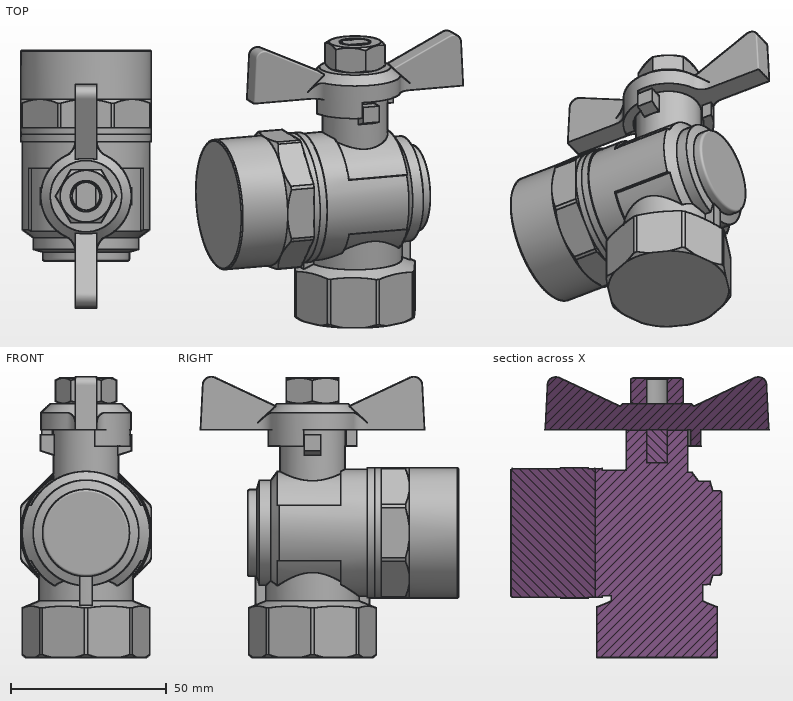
import cadquery as cq
import math


barrel_radius = 20.5
barrel_relief_radius = 19.8
relief_half_height = 8.9
relief_back_y = 9
seam_y = 20.0
collar_diameter = 42.0
collar_radius = collar_diameter / 2
body_collar_back_y = 17.5
shoulder_y = -10.75
boss_radius = 17.0
boss_back_y = -13.4
boss_front_y = -17.1
cap_radius = 14.0
cap_back_y = -18.0
cap_front_y = -20.9
cap_fillet = 0.8
neck_diameter = 21.0
neck_top_z = 33.1
lug_tip_x = 14.6
lug_half_width = 2.7
lug_top_z = 31.6
lug_tip_bottom_z = 26.4
lug_root_bottom_z = 25.0
outlet_diameter = 30.25
outlet_octagon_cone_top_z = -21.85
outlet_octagon_top_z = -24.1
outlet_octagon_bottom_z = -40.1
outlet_octagon_across_flats = 38.3
outlet_corner_radius = 20.5
outlet_chamfer_width = 1.1
outlet_chamfer_height = 1.0
rib_thickness = 4.0
rib_half_length = 18.4

fitting_end_y = 47
fitting_end_chamfer = 0.45
fitting_octagon_back_y = 31.15
fitting_octagon_front_y = 22.0
fitting_across_flats = collar_diameter
fitting_corner_radius = 22.5
fitting_octagon_chamfer = 1.3

hub_radius = 14.5
hub_top_radius = 11.5
hub_bottom_z = neck_top_z
hub_edge_z = 38.65
hub_top_z = 41.5
wing_half_width = 3.5
wing_blend_radius = 5.0
wing_root_y = 9
wing_root_top_z = 39.5
wing_slope = 0.47
wing_tip_y = 36.0
wing_tip_lean = 0.05
wing_corner_radius = 2.8
wing_edge_fillet = 0.45
skirt_bottom_z = 27.9
skirt_inner_radius = 11.3
skirt_stop_offset = 2.9

stem_diameter = 8.9
stem_flats = 6.3
stem_bottom_z = 22.6
nut_across_flats = 17.0
nut_height = 8.3
nut_chamfer_radius = 8.3
nut_chamfer_height = 0.8
nut_bore_chamfer = 0.5
nut_top_z = hub_top_z + nut_height


def octagon_corner_diameter(across_flats):
    return across_flats / math.cos(math.pi / 8)


def turned_about_y(points):
    """Solid of revolution about Y from (radius, y) points."""
    return cq.Workplane("XY").polyline(points).close().revolve(360, (0, 0, 0), (0, 1, 0))


def turned_about_z(points):
    """Solid of revolution about Z from (radius, z) points."""
    return cq.Workplane("XZ").polyline(points).close().revolve(360, (0, 0, 0), (0, 1, 0))


def cylinder(radius, bottom_z, top_z):
    return cq.Workplane("XY").workplane(offset=bottom_z).circle(radius).extrude(top_z - bottom_z)


def box(x_range, y_range, z_range):
    size = [high - low for low, high in (x_range, y_range, z_range)]
    corner = (x_range[0], y_range[0], z_range[0])
    return cq.Workplane("XY").box(*size, centered=False).translate(corner)


def stem_section(bottom_z, top_z):
    """Length of stem with two flats facing -X and +X."""
    flats = cq.Workplane("XY").workplane(offset=bottom_z).rect(stem_flats, stem_diameter)
    return cylinder(stem_diameter / 2, bottom_z, top_z).intersect(flats.extrude(top_z - bottom_z))


def make_barrel():
    barrel = turned_about_y([
        (0, seam_y),
        (collar_radius, seam_y),
        (collar_radius, body_collar_back_y),
        (barrel_radius, body_collar_back_y),
        (barrel_radius, shoulder_y),
        (boss_radius, boss_back_y),
        (boss_radius, boss_front_y),
        (cap_radius, cap_back_y),
        (cap_radius, cap_front_y),
        (0, cap_front_y),
    ])
    barrel = barrel.faces("<Y").edges().fillet(cap_fillet)

    ring_length = relief_back_y - boss_back_y
    ring = (
        cq.Workplane("XZ", origin=(0, relief_back_y, 0))
        .circle(collar_radius)
        .circle(barrel_relief_radius)
        .extrude(ring_length)
    )
    keep = box(
        (-collar_radius, collar_radius),
        (boss_back_y, relief_back_y),
        (-relief_half_height, relief_half_height),
    )
    return barrel.cut(ring.cut(keep))


def make_stop_lug(side):
    """Handle stop on the neck; side is -1 or 1 along X."""
    outline = [
        (0, lug_top_z),
        (side * lug_tip_x, lug_top_z),
        (side * lug_tip_x, lug_tip_bottom_z),
        (side * neck_diameter / 2, lug_root_bottom_z),
        (0, lug_root_bottom_z),
    ]
    return cq.Workplane("XZ").polyline(outline).close().extrude(lug_half_width, both=True)


def make_outlet():
    """Pipe below the barrel, ending in an octagon, with a rib on each side."""
    turned = turned_about_z([
        (0, 0),
        (outlet_diameter / 2, 0),
        (outlet_diameter / 2, outlet_octagon_cone_top_z),
        (outlet_corner_radius, outlet_octagon_top_z),
        (outlet_corner_radius, outlet_octagon_bottom_z + outlet_chamfer_height),
        (outlet_corner_radius - outlet_chamfer_width, outlet_octagon_bottom_z),
        (0, outlet_octagon_bottom_z),
    ])
    octagon = (
        cq.Workplane("XY")
        .workplane(offset=outlet_octagon_bottom_z)
        .polygon(8, octagon_corner_diameter(outlet_octagon_across_flats))
        .extrude(-outlet_octagon_bottom_z)
    )
    rib = box(
        (-rib_thickness / 2, rib_thickness / 2),
        (-rib_half_length, rib_half_length),
        (outlet_octagon_top_z, -boss_radius / 2),
    )
    rib = rib.intersect(cylinder(rib_half_length, outlet_octagon_top_z, 0))
    return turned.intersect(octagon).union(rib)


def make_body():
    body = make_barrel()
    body = body.union(cylinder(neck_diameter / 2, 0, neck_top_z))
    for side in (-1, 1):
        body = body.union(make_stop_lug(side))
    body = body.union(make_outlet())
    return body.cut(cylinder(stem_diameter / 2, stem_bottom_z, neck_top_z))


def make_end_fitting():
    collar = turned_about_y([
        (0, seam_y),
        (collar_radius, seam_y),
        (collar_radius, fitting_end_y - fitting_end_chamfer),
        (collar_radius - fitting_end_chamfer, fitting_end_y),
        (0, fitting_end_y),
    ])
    turned = turned_about_y([
        (0, fitting_octagon_front_y),
        (fitting_corner_radius, fitting_octagon_front_y),
        (fitting_corner_radius, fitting_octagon_back_y - fitting_octagon_chamfer),
        (collar_radius, fitting_octagon_back_y),
        (0, fitting_octagon_back_y),
    ])
    octagon = (
        cq.Workplane("XZ", origin=(0, fitting_octagon_back_y, 0))
        .polygon(8, octagon_corner_diameter(fitting_across_flats))
        .extrude(fitting_octagon_back_y - fitting_octagon_front_y)
        .rotate((0, 0, 0), (0, 1, 0), 180 / 8)
    )
    return collar.union(turned.intersect(octagon))


def make_hub():
    """Round hub blended into both wings in plan, with one cone over its top edge."""
    blend_x = wing_half_width + wing_blend_radius
    blend_y = math.sqrt((hub_radius + wing_blend_radius) ** 2 - blend_x ** 2)
    tangent_scale = hub_radius / (hub_radius + wing_blend_radius)
    tangent_x = blend_x * tangent_scale
    tangent_y = blend_y * tangent_scale

    hub_direction = math.atan2(-blend_y, -blend_x)
    mid_angle = (hub_direction - math.pi) / 2
    middle_x = blend_x + wing_blend_radius * math.cos(mid_angle)
    middle_y = blend_y + wing_blend_radius * math.sin(mid_angle)

    plan = (
        cq.Workplane("XY")
        .workplane(offset=hub_bottom_z)
        .moveTo(tangent_x, -tangent_y)
        .threePointArc((hub_radius, 0), (tangent_x, tangent_y))
        .threePointArc((middle_x, middle_y), (wing_half_width, blend_y))
        .lineTo(-wing_half_width, blend_y)
        .threePointArc((-middle_x, middle_y), (-tangent_x, tangent_y))
        .threePointArc((-hub_radius, 0), (-tangent_x, -tangent_y))
        .threePointArc((-middle_x, -middle_y), (-wing_half_width, -blend_y))
        .lineTo(wing_half_width, -blend_y)
        .threePointArc((middle_x, -middle_y), (tangent_x, -tangent_y))
        .close()
        .extrude(hub_top_z - hub_bottom_z)
    )
    cone_run = (hub_radius - hub_top_radius) / (hub_top_z - hub_edge_z)
    cone_bottom_radius = hub_top_radius + cone_run * (hub_top_z - hub_bottom_z)
    cone = turned_about_z([
        (0, hub_bottom_z),
        (cone_bottom_radius, hub_bottom_z),
        (hub_top_radius, hub_top_z),
        (0, hub_top_z),
    ])
    return plan.intersect(cone)


def make_wing():
    """Wing on the +Y side of the hub."""
    rise_at_tip = wing_root_top_z - hub_bottom_z + wing_slope * (wing_tip_y - wing_root_y)
    corner_height = rise_at_tip / (1 + wing_slope * wing_tip_lean)
    corner_y = wing_tip_y - wing_tip_lean * corner_height
    outline = [
        (wing_root_y, hub_bottom_z),
        (wing_tip_y, hub_bottom_z),
        (corner_y, hub_bottom_z + corner_height),
        (wing_root_y, wing_root_top_z),
    ]
    wing = cq.Workplane("YZ").polyline(outline).close().extrude(wing_half_width, both=True)
    wing = wing.edges("|X").edges(">Z").fillet(wing_corner_radius)
    wing_rim = wing.faces("<X or >X").edges("not(<Y or <Z)")
    return wing_rim.fillet(wing_edge_fillet)


def make_skirt():
    """Two quarter rings under the hub that run against the stop lugs."""
    ring = cylinder(hub_radius, skirt_bottom_z, hub_bottom_z)
    ring = ring.cut(cylinder(skirt_inner_radius, skirt_bottom_z, hub_bottom_z))
    span = (skirt_stop_offset, hub_radius)
    quarter = box(span, (-hub_radius, -skirt_stop_offset), (skirt_bottom_z, hub_bottom_z))
    opposite_quarter = quarter.rotate((0, 0, 0), (0, 0, 1), 180)
    return ring.intersect(quarter.union(opposite_quarter))


def make_handle():
    wing = make_wing()
    handle = make_hub().union(wing)
    handle = handle.union(wing.rotate((0, 0, 0), (0, 0, 1), 180))
    handle = handle.union(make_skirt())
    return handle.cut(stem_section(hub_bottom_z, hub_top_z))


def make_stem():
    return cylinder(stem_diameter / 2, stem_bottom_z, hub_bottom_z).union(
        stem_section(hub_bottom_z, nut_top_z)
    )


def make_nut():
    corner_radius = nut_across_flats / math.sqrt(3)
    hexagon = (
        cq.Workplane("XY")
        .workplane(offset=hub_top_z)
        .polygon(6, 2 * corner_radius)
        .extrude(nut_height)
    )
    turned = turned_about_z([
        (0, hub_top_z),
        (nut_chamfer_radius, hub_top_z),
        (corner_radius, hub_top_z + nut_chamfer_height),
        (corner_radius, nut_top_z - nut_chamfer_height),
        (nut_chamfer_radius, nut_top_z),
        (0, nut_top_z),
    ])
    nut = hexagon.intersect(turned)
    nut = nut.cut(cylinder(stem_diameter / 2, hub_top_z, nut_top_z))
    bore_edge = nut.faces(">Z").edges("%CIRCLE").edges(cq.selectors.RadiusNthSelector(0))
    return bore_edge.chamfer(nut_bore_chamfer)


body = make_body()
end_fitting = make_end_fitting()
handle = make_handle()
stem = make_stem()
nut = make_nut()

result = cq.Compound.makeCompound([
    body.val(),
    end_fitting.val(),
    handle.val(),
    stem.val(),
    nut.val(),
])